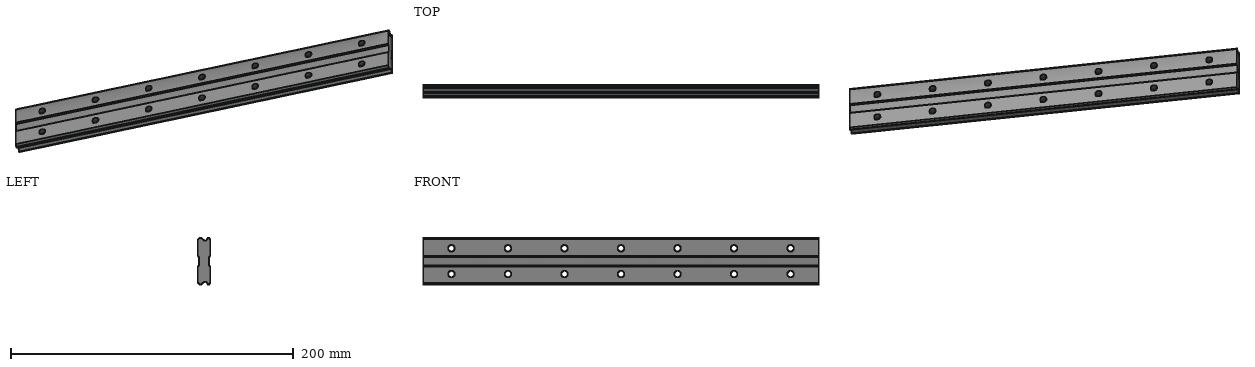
import cadquery as cq

length = 280.0
thickness = 9.0
height = 33.0

back_chamfer = 1.5
back_lip_flat = 1.0

front_chamfer_width = 0.8
front_chamfer_height = 1.0
front_lip_flat = 0.8

groove_depth = 2.0
groove_floor = 1.0
groove_center_y = -0.8

relief_depth = 0.8
relief_floor = 6.0

hole_diameter = 4.5
hole_rows = 2
holes_per_row = 7
hole_pitch = length / holes_per_row
row_spacing = 18.2


def make_bar():
    """Extrude the end profile, mirrored about the XY plane, along X."""
    half_thickness = thickness / 2
    half_height = height / 2
    relief_y = half_thickness - relief_depth
    relief_floor_z = relief_floor / 2
    relief_mouth_z = relief_floor_z + relief_depth
    groove_z = half_height - groove_depth
    back_lip_y = half_thickness - back_chamfer
    front_lip_y = -half_thickness + front_chamfer_width

    upper_half = [
        (relief_y, relief_floor_z),
        (half_thickness, relief_mouth_z),
        (half_thickness, half_height - back_chamfer),
        (back_lip_y, half_height),
        (back_lip_y - back_lip_flat, half_height),
        (groove_center_y + groove_floor / 2, groove_z),
        (groove_center_y - groove_floor / 2, groove_z),
        (front_lip_y + front_lip_flat, half_height),
        (front_lip_y, half_height),
        (-half_thickness, half_height - front_chamfer_height),
        (-half_thickness, relief_mouth_z),
        (-relief_y, relief_floor_z),
    ]
    lower_half = [(y, -z) for y, z in reversed(upper_half)]
    profile = cq.Workplane("YZ").polyline(upper_half + lower_half).close()
    return profile.extrude(length / 2, both=True)


def make_holes():
    """Cylinders along Y that reach through the whole thickness."""
    return (
        cq.Workplane("XZ")
        .rarray(hole_pitch, row_spacing, holes_per_row, hole_rows)
        .circle(hole_diameter / 2)
        .extrude(thickness, both=True)
    )


result = make_bar().cut(make_holes())